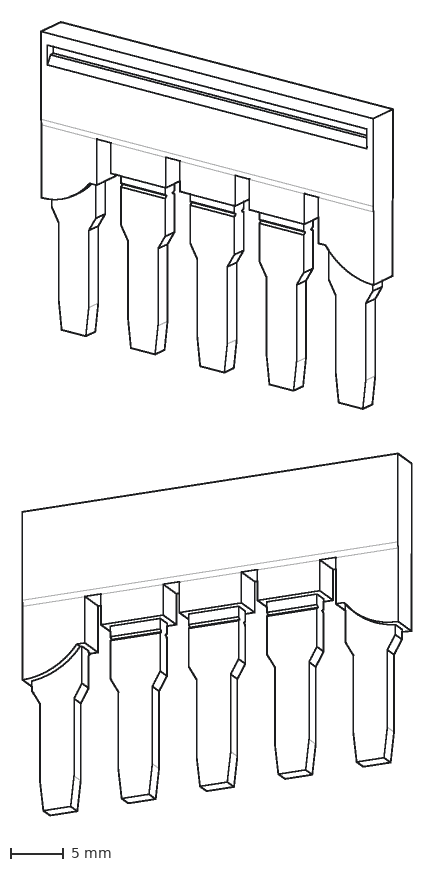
import cadquery as cq

LENGTH = 39.3
THICKNESS = 3.2
HEIGHT = 30.1

PRONG_COUNT = 5
COLLAR_WIDTH = 6.52
PITCH = (LENGTH - COLLAR_WIDTH) / (PRONG_COUNT - 1)
PRONG_THICKNESS = 1.55
SHOULDER_WIDTH = 5.23
NECK_WIDTH = 3.58
TIP_WIDTH = 2.85

BEVEL_START = 8.9
BEVEL_END = 9.47
COLLAR_BOTTOM = 12.58
NOTCH_CENTRE = 13.85
END_BLOCK_INNER_BOTTOM = 14.15
END_BLOCK_BOTTOM = 16.9
SHOULDER_BOTTOM = 17.9
NECK_TOP = 19.3
TAPER_START = 27.08

COLLAR_THICKNESS = 3.03
END_ARC_RADIUS = 7.27

NOTCH_HEIGHT = 0.4
NOTCH_DEPTH = 0.28

SLOT_LENGTH = 37.75
SLOT_TOP = 1.2
SLOT_BACK_TOP = 1.45
SLOT_BACK_BOTTOM = 2.3
SLOT_LEDGE_FRONT = 2.35
SLOT_BOTTOM = 3.22
SLOT_SLOPE_DEPTH = 0.5
SLOT_DEPTH = 0.95


def extrude_along_x(points, length):
    """Closed (Y, Z) outline extruded symmetrically about X = 0."""
    return cq.Workplane("YZ").polyline(points).close().extrude(length / 2, both=True)


def make_body():
    """Long bar whose lower edges are bevelled in to the collar thickness."""
    half = THICKNESS / 2
    half_bottom = COLLAR_THICKNESS / 2
    outline = [
        (-half, 0),
        (half, 0),
        (half, -BEVEL_START),
        (half_bottom, -BEVEL_END),
        (-half_bottom, -BEVEL_END),
        (-half, -BEVEL_START),
    ]
    return extrude_along_x(outline, LENGTH)


def make_slot():
    """Cutter for the front slot, which narrows towards its back wall."""
    front = -THICKNESS / 2
    ledge_front = front + SLOT_SLOPE_DEPTH
    back = front + SLOT_DEPTH
    outline = [
        (front, -SLOT_TOP),
        (back, -SLOT_BACK_TOP),
        (back, -SLOT_BACK_BOTTOM),
        (ledge_front, -SLOT_LEDGE_FRONT),
        (front, -SLOT_BOTTOM),
    ]
    return extrude_along_x(outline, SLOT_LENGTH)


def make_prong(x):
    """Flat pin with wide shoulders, a narrow neck and a tapered tip."""
    right_side = [
        (SHOULDER_WIDTH / 2, -BEVEL_END),
        (SHOULDER_WIDTH / 2, -SHOULDER_BOTTOM),
        (NECK_WIDTH / 2, -NECK_TOP),
        (NECK_WIDTH / 2, -TAPER_START),
        (TIP_WIDTH / 2, -HEIGHT),
    ]
    left_side = [(-px, pz) for px, pz in reversed(right_side)]
    prong = cq.Workplane("XZ").polyline(right_side + left_side).close()
    return prong.extrude(PRONG_THICKNESS / 2, both=True).translate((x, 0, 0))


def make_notch(x, side):
    """Cutter for the V notch on one face of a prong: side is -1 for front, 1 for back."""
    face = side * PRONG_THICKNESS / 2
    outline = [
        (face, -NOTCH_CENTRE + NOTCH_HEIGHT / 2),
        (face - side * NOTCH_DEPTH, -NOTCH_CENTRE),
        (face, -NOTCH_CENTRE - NOTCH_HEIGHT / 2),
    ]
    return extrude_along_x(outline, SHOULDER_WIDTH).translate((x, 0, 0))


def make_collar(x):
    """Short block around the root of an inner prong."""
    height = COLLAR_BOTTOM - BEVEL_END
    collar = cq.Workplane("XY", origin=(x, 0, -COLLAR_BOTTOM))
    return collar.rect(COLLAR_WIDTH, COLLAR_THICKNESS).extrude(height)


def make_left_end_block():
    """Taller block at the -X end, its underside curving up towards the inner side."""
    outer = -LENGTH / 2
    inner = outer + COLLAR_WIDTH
    arc_centre_z = -END_BLOCK_BOTTOM + END_ARC_RADIUS
    drop_at_arc_end = arc_centre_z + END_BLOCK_INNER_BOTTOM

    def arc_point(drop):
        """Point on the underside arc at the given depth below the arc centre."""
        return (outer + (END_ARC_RADIUS**2 - drop**2) ** 0.5, arc_centre_z - drop)

    arc_middle = arc_point((END_ARC_RADIUS + drop_at_arc_end) / 2)
    return (
        cq.Workplane("XZ")
        .moveTo(outer, -BEVEL_END)
        .lineTo(outer, -END_BLOCK_BOTTOM)
        .threePointArc(arc_middle, arc_point(drop_at_arc_end))
        .lineTo(inner, -END_BLOCK_INNER_BOTTOM)
        .lineTo(inner, -BEVEL_END)
        .close()
        .extrude(COLLAR_THICKNESS / 2, both=True)
    )


prong_positions = [(i - (PRONG_COUNT - 1) / 2) * PITCH for i in range(PRONG_COUNT)]
inner_positions = prong_positions[1:-1]

result = make_body().cut(make_slot())

for x in prong_positions:
    result = result.union(make_prong(x))

for x in inner_positions:
    result = result.union(make_collar(x))
    for side in (-1, 1):
        result = result.cut(make_notch(x, side))

left_end_block = make_left_end_block()
result = result.union(left_end_block).union(left_end_block.mirror("YZ"))